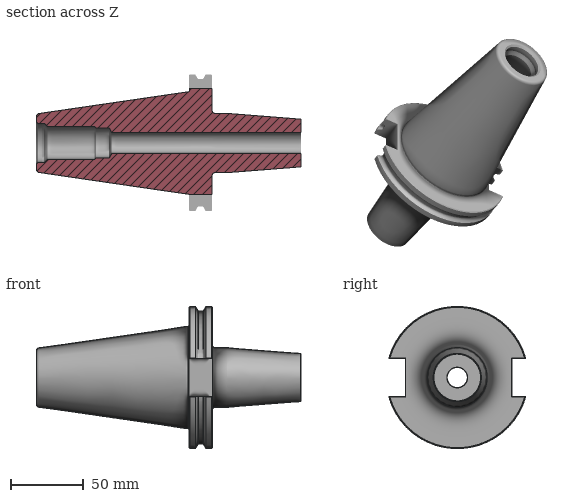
import cadquery as cq
import math

TAPER_END_X = -101.62
COLLAR_X = 1.2
FLANGE_BACK_X = 3.18
FLANGE_FRONT_X = 19.05
NOSE_CONE_X = 29.2
NOSE_END_X = 80.0

COLLAR_DIAMETER = 70.2
TAPER_RATIO = 7 / 24
TAPER_END_ROUNDING = 2.3
COLLAR_FILLET = 0.7

FLANGE_DIAMETER = 97.5
FLANGE_CHAMFER = 0.6
GROOVE_CENTER_X = 11.1
GROOVE_FLOOR_WIDTH = 3.7
GROOVE_FLOOR_DIAMETER = 91.4
GROOVE_FLANK_ANGLE = 30
GROOVE_FLOOR_FILLET = 0.6

SLOT_WIDTH = 26.2
SLOT_EDGE_CHAMFER = 0.2
SLOT_FLOOR_NEG_Y = -35.5
SLOT_FLOOR_POS_Y = 37.5

NOSE_DIAMETER = 41.0
NOSE_CONE_ANGLE = 4.5
NOSE_ROOT_FILLET = 2.0
NOSE_END_CHAMFER = 0.5

MOUTH_DIAMETER = 28.6
MOUTH_ANGLE = 45
PILOT_DIAMETER = 26.2
PILOT_DEPTH = 4.1
UNDERCUT_DIAMETER = 26.7
UNDERCUT_DEPTH = 5.5
THREAD_DIAMETER = 22.23
THREAD_DEPTH = 40.0
RELIEF_DIAMETER = 20.0
RELIEF_DEPTH = 50.0
SHOULDER_ANGLE = 45
DRILL_POINT_ANGLE = 60
THROUGH_DIAMETER = 13.84


def revolve_about_x(profile):
    """Revolve an (axial, radial) profile about the tool axis."""
    return profile.close().revolve(360, (0, 0, 0), (1, 0, 0))


def cylinder(start_x, end_x, diameter):
    """Cylinder on the tool axis between two axial stations."""
    return cq.Workplane("YZ", origin=(start_x, 0, 0)).circle(diameter / 2).extrude(end_x - start_x)


def cone_length(large_diameter, small_diameter, angle_from_axis):
    """Axial length of a cone between two diameters."""
    return (large_diameter - small_diameter) / 2 / math.tan(math.radians(angle_from_axis))


def make_taper():
    collar_radius = COLLAR_DIAMETER / 2
    end_radius = collar_radius - (COLLAR_X - TAPER_END_X) * TAPER_RATIO / 2
    taper = revolve_about_x(
        cq.Workplane("XY")
        .moveTo(TAPER_END_X, 0)
        .lineTo(TAPER_END_X, end_radius)
        .lineTo(COLLAR_X, collar_radius)
        .lineTo(FLANGE_BACK_X - COLLAR_FILLET, collar_radius)
        .radiusArc((FLANGE_BACK_X, collar_radius + COLLAR_FILLET), -COLLAR_FILLET)
        .lineTo(FLANGE_BACK_X, 0)
    )
    return taper.faces("<X").edges().fillet(TAPER_END_ROUNDING)


def make_flange():
    flange = cylinder(FLANGE_BACK_X, FLANGE_FRONT_X, FLANGE_DIAMETER)
    flange = flange.faces("<X or >X").edges().chamfer(FLANGE_CHAMFER)
    flange = cut_slots(flange)
    wall_edges = flange.faces("|Z").edges()
    floor_edges = flange.faces("|Y").edges()
    outer_edges = [
        edge for edge in wall_edges.vals()
        if not any(edge.isSame(floor_edge) for floor_edge in floor_edges.vals())
    ]
    flange = flange.newObject(outer_edges).chamfer(SLOT_EDGE_CHAMFER)
    return flange.cut(make_groove())


def make_groove():
    rim_radius = FLANGE_DIAMETER / 2
    floor_radius = GROOVE_FLOOR_DIAMETER / 2
    floor_half = GROOVE_FLOOR_WIDTH / 2
    rim_half = floor_half + (rim_radius - floor_radius) * math.tan(math.radians(GROOVE_FLANK_ANGLE))
    groove = revolve_about_x(
        cq.Workplane("XY")
        .moveTo(GROOVE_CENTER_X - rim_half, rim_radius)
        .lineTo(GROOVE_CENTER_X - floor_half, floor_radius)
        .lineTo(GROOVE_CENTER_X + floor_half, floor_radius)
        .lineTo(GROOVE_CENTER_X + rim_half, rim_radius)
    )
    floor_edges = groove.edges(cq.selectors.RadiusNthSelector(0))
    return floor_edges.fillet(GROOVE_FLOOR_FILLET)


def make_slot(floor_y):
    """Drive slot from its floor out past the rim, also clearing the collar fillet behind the flange."""
    rim_y = math.copysign(FLANGE_DIAMETER / 2, floor_y)
    start_x = FLANGE_BACK_X - COLLAR_FILLET
    slot = cq.Workplane("XY").box(FLANGE_FRONT_X - start_x, abs(rim_y - floor_y), SLOT_WIDTH)
    return slot.translate(((FLANGE_FRONT_X + start_x) / 2, (rim_y + floor_y) / 2, 0))


def cut_slots(body):
    for floor_y in (SLOT_FLOOR_NEG_Y, SLOT_FLOOR_POS_Y):
        body = body.cut(make_slot(floor_y))
    return body


def make_nose():
    nose_radius = NOSE_DIAMETER / 2
    end_radius = nose_radius - (NOSE_END_X - NOSE_CONE_X) * math.tan(math.radians(NOSE_CONE_ANGLE))
    nose = revolve_about_x(
        cq.Workplane("XY")
        .moveTo(FLANGE_FRONT_X, 0)
        .lineTo(FLANGE_FRONT_X, nose_radius + NOSE_ROOT_FILLET)
        .radiusArc((FLANGE_FRONT_X + NOSE_ROOT_FILLET, nose_radius), -NOSE_ROOT_FILLET)
        .lineTo(NOSE_CONE_X, nose_radius)
        .lineTo(NOSE_END_X, end_radius)
        .lineTo(NOSE_END_X, 0)
    )
    return nose.faces(">X").edges().chamfer(NOSE_END_CHAMFER)


def make_bore():
    mouth_depth = cone_length(MOUTH_DIAMETER, PILOT_DIAMETER, MOUTH_ANGLE)
    thread_start = UNDERCUT_DEPTH + cone_length(UNDERCUT_DIAMETER, THREAD_DIAMETER, SHOULDER_ANGLE)
    relief_start = THREAD_DEPTH + cone_length(THREAD_DIAMETER, RELIEF_DIAMETER, SHOULDER_ANGLE)
    through_start = RELIEF_DEPTH + cone_length(RELIEF_DIAMETER, THROUGH_DIAMETER, DRILL_POINT_ANGLE)
    wall = (
        (0, MOUTH_DIAMETER),
        (mouth_depth, PILOT_DIAMETER),
        (PILOT_DEPTH, PILOT_DIAMETER),
        (PILOT_DEPTH, UNDERCUT_DIAMETER),
        (UNDERCUT_DEPTH, UNDERCUT_DIAMETER),
        (thread_start, THREAD_DIAMETER),
        (THREAD_DEPTH, THREAD_DIAMETER),
        (relief_start, RELIEF_DIAMETER),
        (RELIEF_DEPTH, RELIEF_DIAMETER),
        (through_start, THROUGH_DIAMETER),
        (NOSE_END_X - TAPER_END_X, THROUGH_DIAMETER),
    )
    profile = cq.Workplane("XY").moveTo(TAPER_END_X, 0)
    for depth, diameter in wall:
        profile = profile.lineTo(TAPER_END_X + depth, diameter / 2)
    return revolve_about_x(profile.lineTo(NOSE_END_X, 0))


result = cut_slots(make_taper()).union(make_flange()).union(make_nose()).cut(make_bore())